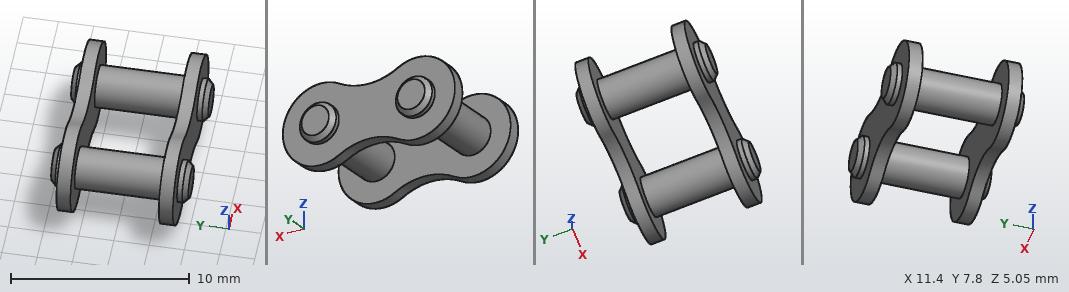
import cadquery as cq
import math

overall_length = 11.4
plate_height = 5.05
waist_radius = 4.0
plate_thickness = 0.8
plate_outer_span = 6.61
pin_diameter = 2.4
pin_length = 7.8
pin_chamfer = 0.3

end_radius = plate_height / 2
half_pitch = (overall_length - plate_height) / 2

waist_center_z = math.sqrt((end_radius + waist_radius) ** 2 - half_pitch ** 2)
waist_half_height = waist_center_z - waist_radius
end_share = end_radius / (end_radius + waist_radius)
tangent_x = half_pitch * (1 - end_share)
tangent_z = waist_center_z * end_share


def link_plate(outer_y):
    """Waisted plate in the XZ plane, from outer_y toward +Y."""
    return (
        cq.Workplane("XZ", origin=(0, outer_y, 0))
        .moveTo(-tangent_x, tangent_z)
        .threePointArc((0, waist_half_height), (tangent_x, tangent_z))
        .threePointArc((overall_length / 2, 0), (tangent_x, -tangent_z))
        .threePointArc((0, -waist_half_height), (-tangent_x, -tangent_z))
        .threePointArc((-overall_length / 2, 0), (-tangent_x, tangent_z))
        .close()
        .extrude(-plate_thickness)
    )


def link_pin(center_x):
    """Pin along Y with both ends chamfered."""
    return (
        cq.Workplane("XZ", origin=(center_x, 0, 0))
        .circle(pin_diameter / 2)
        .extrude(pin_length / 2, both=True)
        .faces("<Y or >Y")
        .chamfer(pin_chamfer)
    )


front_plate = link_plate(-plate_outer_span / 2)
back_plate = link_plate(plate_outer_span / 2 - plate_thickness)

result = front_plate.union(back_plate)
for pin_x in (-half_pitch, half_pitch):
    result = result.union(link_pin(pin_x))